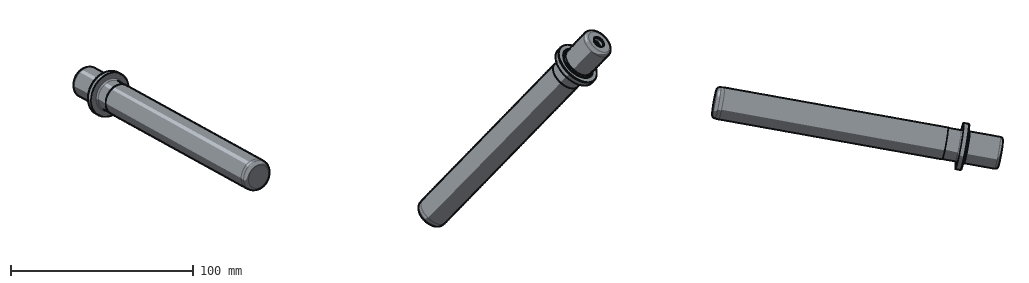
import cadquery as cq
import math

length = 160.0
pin_radius = 9.0
mount_radius = pin_radius
mount_rounding = 2.0

flange_radius = 13.0
flange_front = 19.8
flange_thickness = 3.2
flange_back = flange_front + flange_thickness
flange_chamfer_length = 0.5
flange_chamfer_height = 0.2

undercut_length = 1.0
undercut_depth = 0.5
undercut_face_depth = 0.3
undercut_ramp = 0.5
undercut_corner = 0.6
undercut_face_radius = 10.0

neck_radius = 8.8
neck_end = 31.0
neck_fillet = 0.8

lead_in_length = 4.0
rounding_length = 2.0
taper_radius = 8.8
tip_radius = 6.9

countersink_radius = 3.5
thread_radius = 3.0
drill_radius = 2.2
drill_point_angle = 120.0
thread_depth = 2.9
drill_depth = 15.2


def make_body():
    """Revolve the half outline of the pin about the X axis."""
    taper_start = length - lead_in_length
    rounding_start = length - rounding_length
    corner_offset = mount_rounding * (1 - math.sqrt(0.5))
    fillet_offset = neck_fillet * (1 - math.sqrt(0.5))
    undercut_start = flange_front - undercut_length
    undercut_back = flange_front + undercut_face_depth
    undercut_radius = mount_radius - undercut_depth
    undercut_offset = undercut_corner * (1 - math.sqrt(0.5))
    outline = (
        cq.Workplane("XY")
        .moveTo(0, 0)
        .lineTo(0, mount_radius - mount_rounding)
        .threePointArc((corner_offset, mount_radius - corner_offset), (mount_rounding, mount_radius))
        .lineTo(undercut_start, mount_radius)
        .lineTo(undercut_start + undercut_ramp, undercut_radius)
        .lineTo(undercut_back - undercut_corner, undercut_radius)
        .threePointArc(
            (undercut_back - undercut_offset, undercut_radius + undercut_offset),
            (undercut_back, undercut_radius + undercut_corner),
        )
        .lineTo(flange_front, undercut_face_radius)
        .lineTo(flange_front, flange_radius - flange_chamfer_height)
        .lineTo(flange_front + flange_chamfer_length, flange_radius)
        .lineTo(flange_back, flange_radius)
        .lineTo(flange_back, neck_radius + neck_fillet)
        .threePointArc(
            (flange_back + fillet_offset, neck_radius + fillet_offset),
            (flange_back + neck_fillet, neck_radius),
        )
        .lineTo(neck_end, neck_radius)
        .lineTo(neck_end, pin_radius)
        .lineTo(taper_start, pin_radius)
        .lineTo(rounding_start, taper_radius)
        .tangentArcPoint((length, tip_radius), relative=False)
        .lineTo(length, 0)
        .close()
    )
    return outline.revolve(360, (0, 0, 0), (1, 0, 0))


def make_tapped_hole():
    """Cutter for the axial hole in the front face, revolved about the X axis."""
    countersink_depth = countersink_radius - thread_radius
    point_depth = drill_radius / math.tan(math.radians(drill_point_angle / 2))
    outline = (
        cq.Workplane("XY")
        .moveTo(0, 0)
        .lineTo(0, countersink_radius)
        .lineTo(countersink_depth, thread_radius)
        .lineTo(thread_depth, thread_radius)
        .lineTo(thread_depth, drill_radius)
        .lineTo(drill_depth, drill_radius)
        .lineTo(drill_depth + point_depth, 0)
        .close()
    )
    return outline.revolve(360, (0, 0, 0), (1, 0, 0))


result = make_body().cut(make_tapped_hole())